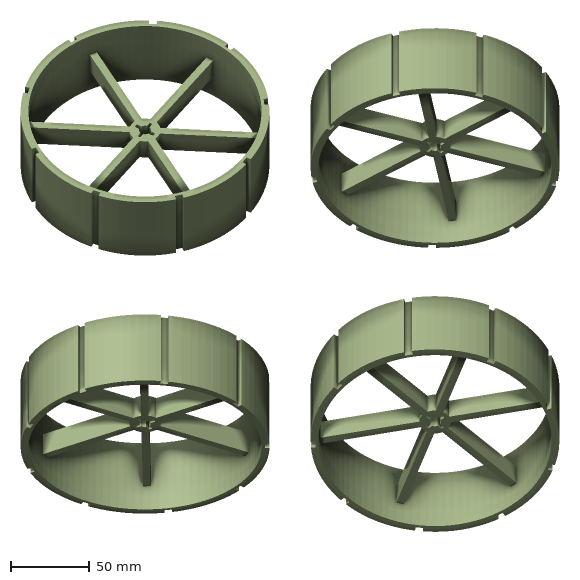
import cadquery as cq

round_sides = 90

rim_radius = 79.5
rim_wall = 5.0
rim_height = 50.0

slot_count = 9
slot_width = 5.0
slot_depth = 3.0

web_height = 15.0
hub_radius = 10.0
spoke_count = 6
spoke_width = 5.0
first_spoke_angle = 30.0

bore_radius = 3.75
keyway_length = 14.0
keyway_width_along_x = 2.5
keyway_width_along_y = 2.0


def prism(radius, height):
    """Regular prism centred on the origin, with one corner on the +X axis."""
    return cq.Workplane("XY").polygon(round_sides, 2 * radius).extrude(height / 2, both=True)


def make_rim():
    inner_radius = rim_radius - rim_wall
    rim = prism(rim_radius, rim_height).cut(prism(inner_radius, rim_height))
    cutter = cq.Workplane("XY").box(2 * slot_depth, slot_width, rim_height).translate((rim_radius, 0, 0))
    for i in range(slot_count):
        rim = rim.cut(cutter.rotate((0, 0, 0), (0, 0, 1), i * 360 / slot_count))
    return rim


def make_web():
    web = prism(hub_radius, web_height)
    spoke_length = rim_radius - (rim_wall + slot_depth) / 2
    spoke = cq.Workplane("XY").box(spoke_length, spoke_width, web_height, centered=(False, True, True))
    for i in range(spoke_count):
        angle = first_spoke_angle + i * 360 / spoke_count
        web = web.union(spoke.rotate((0, 0, 0), (0, 0, 1), angle))
    return web


def make_bore():
    bore = prism(bore_radius, web_height)
    keyway_x = cq.Workplane("XY").box(keyway_length, keyway_width_along_x, web_height)
    keyway_y = cq.Workplane("XY").box(keyway_width_along_y, keyway_length, web_height)
    return bore.union(keyway_x).union(keyway_y)


result = make_rim().union(make_web()).cut(make_bore())